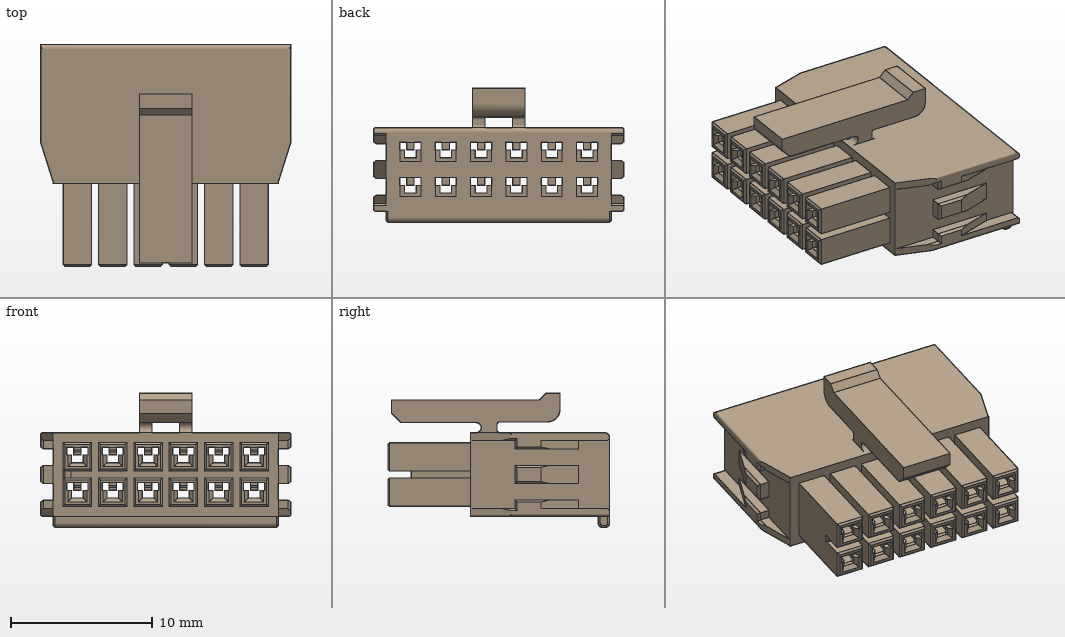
import cadquery as cq

JOIN = 0.05

BODY_WIDTH = 15.95
BODY_DEPTH = 9.85
BODY_HEIGHT = 5.92
BODY_TOP = BODY_HEIGHT / 2

FLANGE_WIDTH = 17.7
FLANGE_THICKNESS = 0.54
FLANGE_TAPER_START = 2.9
FLANGE_TAPER_END = 0.13
FLANGE_SIDE_RADIUS = 0.15
FLANGE_REAR_RADIUS = 0.37
FLANGE_INNER_CHAMFER = 0.14

RIDGE_FRONT = 3.16
RIDGE_CREST_REAR = 4.99
RIDGE_REAR = 7.63
RIDGE_HEIGHT = 1.29
RIDGE_CHAMFER = 0.14
RIDGE_CHAMFER_DEPTH = 0.2
OUTER_RIDGE_REACH = 1.15

COLUMNS = 6
ROWS = 2
PITCH = 2.5
TOWER_SIZE = 2.02
TOWER_LENGTH = 5.85
TOWER_CHAMFER = 0.135

CAVITY_WIDTH = 1.48
CAVITY_TOP = 0.67
SHOULDER_Z = 0.13
CHANNEL_WIDTH = 0.81
CHANNEL_FLOOR = -0.41
FUNNEL_CHAMFER = 0.27
CHAMBER_FLOOR = -0.67
ENTRY_DEPTH = 0.57

FINGER_WIDTH = 0.54
FINGER_FRONT = 1.0
FINGER_REAR = 3.0
FINGER_RAMP_TOP = 0.47
FINGER_RAMP_BOTTOM = 0.33
FINGER_RAMP_LENGTH = 0.06

WEB_THICKNESS = 0.55
WEB_LENGTH = 4.19
WEB_CHAMFER_X = 0.13
WEB_CHAMFER_Y = 0.22

LIP_DEPTH = 0.82
LIP_DROP = 0.8
LIP_END_CHAMFER = 0.15
LIP_RADIUS = 0.33

LATCH_WIDTH = 3.73
LATCH_REAR = 6.34
LATCH_FRONT = -5.6
LATCH_TOP = 2.79
LEVER_TOP = 2.32
LEVER_BOTTOM_REAR = 0.75
LEVER_BOTTOM_FRONT = 0.7
HOOK_FRONT = 5.33
HOOK_SLOPE = LATCH_TOP - LEVER_TOP
LATCH_NOSE_RADIUS = 0.9
LATCH_TIP_CHAMFER = 0.67
NECK_REAR = 1.88
NECK_FRONT = 0.75
NECK_REAR_RADIUS = 0.2
NECK_GAP = 1.92


def box(x_min, x_max, y_min, y_max, z_min, z_max):
    """Axis-aligned block between the given limits."""
    size = (x_max - x_min, y_max - y_min, z_max - z_min)
    return cq.Workplane("XY").box(*size, centered=False).translate((x_min, y_min, z_min))


def make_body():
    """Plain housing block between the flanges."""
    half = BODY_WIDTH / 2
    return box(-half, half, 0, BODY_DEPTH, -BODY_TOP, BODY_TOP)


def plan_prism(points, z_min, z_max):
    """Prism with the given (x, y) outline between two heights."""
    return cq.Workplane("XY", origin=(0, 0, z_min)).polyline(points).close().extrude(z_max - z_min)


def mirrored_copies(shape, plane):
    """The shape joined with its mirror image."""
    return shape.union(shape.mirror(plane))


def make_flange_corner():
    """Chamfer waste under the top flange's -X edge, between the ridge and the taper."""
    edge_x = -FLANGE_WIDTH / 2
    edge_z = BODY_TOP - FLANGE_THICKNESS
    section = [
        (edge_x, edge_z),
        (edge_x + RIDGE_CHAMFER_DEPTH, edge_z),
        (edge_x, edge_z + RIDGE_CHAMFER),
    ]
    return cq.Workplane("XZ").polyline(section).close().extrude(-RIDGE_FRONT - RIDGE_CHAMFER)


def make_flanges():
    """Tapered plates along the top and bottom; the outer side edges of both are rounded."""
    half = FLANGE_WIDTH / 2
    root = BODY_WIDTH / 2
    outline = [
        (-root, FLANGE_TAPER_END),
        (-half, FLANGE_TAPER_START),
        (-half, BODY_DEPTH),
        (half, BODY_DEPTH),
        (half, FLANGE_TAPER_START),
        (root, FLANGE_TAPER_END),
    ]
    plate = plan_prism(outline, BODY_TOP - FLANGE_THICKNESS, BODY_TOP)
    plate = plate.faces(">Z").edges("|Y").fillet(FLANGE_SIDE_RADIUS)
    plate = plate.faces("<Z").edges(">Y").chamfer(FLANGE_INNER_CHAMFER)
    plate = plate.cut(mirrored_copies(make_flange_corner(), "YZ"))
    return mirrored_copies(plate, "XY")


def round_rear_edge(housing):
    """Round the upper rear edge over its full width, meeting the rounded sides in a mitre."""
    radius = FLANGE_REAR_RADIUS
    waste = (
        cq.Workplane("YZ")
        .moveTo(BODY_DEPTH - radius, BODY_TOP)
        .radiusArc((BODY_DEPTH, BODY_TOP - radius), radius)
        .lineTo(BODY_DEPTH, BODY_TOP)
        .close()
        .extrude(FLANGE_WIDTH / 2, both=True)
    )
    return housing.cut(waste)


def make_ridge(z_min, z_max, bottom_chamfer, top_chamfer):
    """Ramped ridge on the -X wall; the crest is chamfered in front and along the given sides."""
    root = -BODY_WIDTH / 2
    crest = -FLANGE_WIDTH / 2
    outline = [
        (root + JOIN, RIDGE_REAR),
        (root, RIDGE_REAR),
        (crest, RIDGE_CREST_REAR),
        (crest, RIDGE_FRONT + RIDGE_CHAMFER),
        (crest + RIDGE_CHAMFER_DEPTH, RIDGE_FRONT),
        (root + JOIN, RIDGE_FRONT),
    ]
    section = [
        (root + JOIN, z_min),
        (crest + RIDGE_CHAMFER_DEPTH, z_min),
        (crest, z_min + bottom_chamfer),
        (crest, z_max - top_chamfer),
        (crest + RIDGE_CHAMFER_DEPTH, z_max),
        (root + JOIN, z_max),
    ]
    bar = cq.Workplane("XZ").polyline(section).close().extrude(-BODY_DEPTH)
    return plan_prism(outline, z_min, z_max).intersect(bar)


def make_ridges():
    """Three ridges on each side wall; the outer ones grow out of the flanges."""
    half = RIDGE_HEIGHT / 2
    middle = make_ridge(-half, half, RIDGE_CHAMFER, RIDGE_CHAMFER)
    outer_top = BODY_TOP - FLANGE_THICKNESS / 2
    upper = make_ridge(BODY_TOP - OUTER_RIDGE_REACH, outer_top, RIDGE_CHAMFER, 0)
    return mirrored_copies(middle.union(mirrored_copies(upper, "XY")), "YZ")


def make_lip():
    """Rounded bar hanging below the rear edge of the housing."""
    half = BODY_WIDTH / 2
    lip = box(-half, half, BODY_DEPTH - LIP_DEPTH, BODY_DEPTH, -BODY_TOP - LIP_DROP, -BODY_TOP)
    lip = lip.faces("<Z").edges("|X").fillet(LIP_RADIUS)
    return lip.faces("<X or >X").edges("not >Z").chamfer(LIP_END_CHAMFER)


def tower_centres():
    """(x, z) centres of the contact towers."""
    columns = [(i - (COLUMNS - 1) / 2) * PITCH for i in range(COLUMNS)]
    rows = [(j - (ROWS - 1) / 2) * PITCH for j in range(ROWS)]
    return [(x, z) for x in columns for z in rows]


def make_tower():
    """One contact tower, centred on the Y axis, with a chamfered front."""
    half = TOWER_SIZE / 2
    tower = box(-half, half, -TOWER_LENGTH, JOIN, -half, half)
    return tower.faces("<Y").edges().chamfer(TOWER_CHAMFER)


def channel_outline(plane, margin):
    """Closed outline of the entry channel below the shoulders, widened by a margin."""
    half = CHANNEL_WIDTH / 2 + margin
    floor = CHANNEL_FLOOR - margin
    outline = [(-half, SHOULDER_Z), (-half, floor), (half, floor), (half, SHOULDER_Z)]
    return plane.polyline(outline).close()


def make_funnel():
    """Mouth of the entry channel, narrowing at 45 degrees from the front of a tower."""
    front = cq.Workplane("XZ", origin=(0, -TOWER_LENGTH, 0))
    mouth = channel_outline(front, FUNNEL_CHAMFER)
    back = mouth.workplane(offset=-FUNNEL_CHAMFER)
    return channel_outline(back, 0).loft(ruled=True)


def make_finger():
    """Locking finger under a cavity ceiling, with a sloping step in its front."""
    ramp_rear = FINGER_FRONT + FINGER_RAMP_LENGTH
    profile = [
        (FINGER_FRONT, CAVITY_TOP + JOIN),
        (FINGER_FRONT, FINGER_RAMP_TOP),
        (ramp_rear, FINGER_RAMP_BOTTOM),
        (ramp_rear, SHOULDER_Z),
        (FINGER_REAR, SHOULDER_Z),
        (FINGER_REAR, CAVITY_TOP + JOIN),
    ]
    return cq.Workplane("YZ").polyline(profile).close().extrude(FINGER_WIDTH / 2, both=True)


def make_cavity():
    """Space for one contact, open through the tower and the housing."""
    half_wide = CAVITY_WIDTH / 2
    half_channel = CHANNEL_WIDTH / 2
    chamber_front = -TOWER_LENGTH + ENTRY_DEPTH
    upper = box(-half_wide, half_wide, -TOWER_LENGTH, BODY_DEPTH, SHOULDER_Z, CAVITY_TOP)
    channel = box(-half_channel, half_channel, -TOWER_LENGTH, BODY_DEPTH, CHANNEL_FLOOR, SHOULDER_Z)
    chamber = box(-half_wide, half_wide, chamber_front, BODY_DEPTH, CHAMBER_FLOOR, SHOULDER_Z)
    cavity = upper.union(channel).union(chamber).union(make_funnel())
    return cavity.cut(make_finger())


def make_web():
    """Web that joins the towers of the -X column along their outer side."""
    outer = -(COLUMNS - 1) / 2 * PITCH - TOWER_SIZE / 2
    inner = outer + WEB_THICKNESS
    half = PITCH / 2
    outline = [
        (outer, JOIN),
        (outer, -WEB_LENGTH + WEB_CHAMFER_Y),
        (outer + WEB_CHAMFER_X, -WEB_LENGTH),
        (inner, -WEB_LENGTH),
        (inner, JOIN),
    ]
    return plan_prism(outline, -half, half)


def make_latch():
    """Lever on a two-legged neck, with a hook at its rear end."""
    neck_radius = LEVER_BOTTOM_FRONT / 2
    nose = LATCH_NOSE_RADIUS
    lever = (
        cq.Workplane("YZ", origin=(0, 0, BODY_TOP))
        .moveTo(LATCH_REAR, LATCH_TOP)
        .lineTo(HOOK_FRONT, LATCH_TOP)
        .lineTo(HOOK_FRONT - HOOK_SLOPE, LEVER_TOP)
        .lineTo(LATCH_FRONT, LEVER_TOP)
        .lineTo(LATCH_FRONT, LEVER_BOTTOM_FRONT + LATCH_TIP_CHAMFER)
        .lineTo(LATCH_FRONT + LATCH_TIP_CHAMFER, LEVER_BOTTOM_FRONT)
        .lineTo(NECK_FRONT - neck_radius, LEVER_BOTTOM_FRONT)
        .threePointArc((NECK_FRONT, neck_radius), (NECK_FRONT - neck_radius, 0))
        .lineTo(NECK_FRONT - neck_radius, -JOIN)
        .lineTo(NECK_REAR + NECK_REAR_RADIUS, -JOIN)
        .lineTo(NECK_REAR + NECK_REAR_RADIUS, 0)
        .radiusArc((NECK_REAR, NECK_REAR_RADIUS), NECK_REAR_RADIUS)
        .lineTo(NECK_REAR, LEVER_BOTTOM_REAR - NECK_REAR_RADIUS)
        .radiusArc((NECK_REAR + NECK_REAR_RADIUS, LEVER_BOTTOM_REAR), NECK_REAR_RADIUS)
        .lineTo(LATCH_REAR - nose, LEVER_BOTTOM_REAR)
        .radiusArc((LATCH_REAR, LEVER_BOTTOM_REAR + nose), -nose)
        .close()
        .extrude(LATCH_WIDTH / 2, both=True)
    )
    half_gap = NECK_GAP / 2
    window = box(-half_gap, half_gap, 0, LATCH_REAR - nose, BODY_TOP, BODY_TOP + LEVER_BOTTOM_FRONT)
    return lever.cut(window)


housing = make_body().union(make_flanges())
housing = round_rear_edge(housing)
housing = housing.union(make_ridges()).union(make_lip()).union(make_web())
tower = make_tower()
cavity = make_cavity()
for x, z in tower_centres():
    housing = housing.union(tower.translate((x, 0, z)))
for x, z in tower_centres():
    housing = housing.cut(cavity.translate((x, 0, z)))
result = housing.union(make_latch())